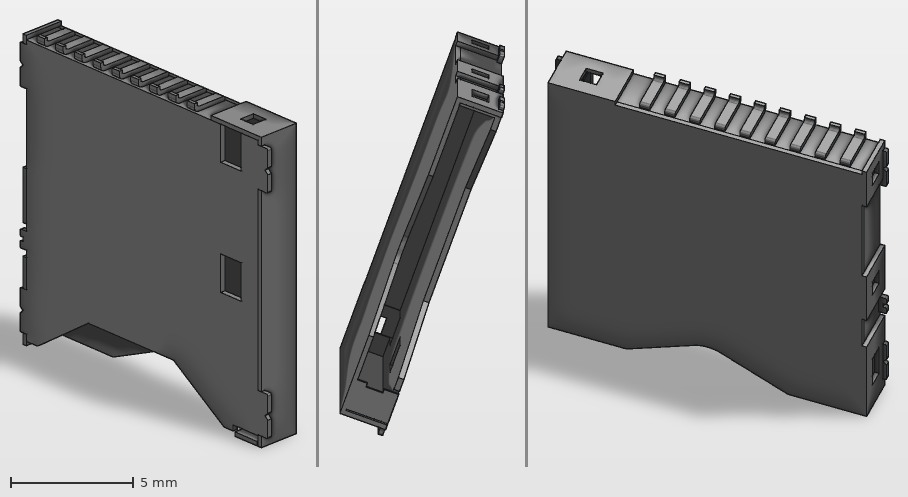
import cadquery as cq
import math


WIDTH = 14.6
THICKNESS = 2.0
HEIGHT = 14.2
LEFT, RIGHT = -WIDTH / 2, WIDTH / 2
FRONT, BACK = -THICKNESS / 2, THICKNESS / 2
BOTTOM, TOP = -HEIGHT / 2, HEIGHT / 2

SHEET = 0.2
LEFT_FOOT_REACH = 0.16
RIGHT_FOOT_REACH = 0.38
CONTACT_RISE = 0.2
SHELL_LEFT = LEFT + LEFT_FOOT_REACH
SHELL_RIGHT = RIGHT - RIGHT_FOOT_REACH
SHELL_TOP = TOP - CONTACT_RISE
SHELL_CENTER = (SHELL_LEFT + SHELL_RIGHT) / 2
PLATE_FRONT = BACK - SHEET
SIDE_FLAPS = ((4.9, SHELL_TOP), (-1.6, 0.89), (BOTTOM, -3.12))
FLAP_HOLES = ((5.56, 6.26), (-0.72, 0.01), (-5.87, -4.38))
HOLE_WIDTH = 0.73
TOP_FLANGE_LEFT = 3.95
FLANGE_HOLE_LEFT, FLANGE_HOLE_RIGHT = 5.04, 5.78
BOTTOM_FLANGE_LEFT = 5.36
BOTTOM_NOTCH_RIGHT = 5.52
BOTTOM_FLANGE_GAP = 0.06
THUMB_HALF_WIDTH = 3.56
THUMB_RISE = 1.55
THUMB_RADIUS = 1.5

HOUSING_LEFT = SHELL_LEFT + SHEET
HOUSING_RIGHT = SHELL_RIGHT - SHEET
HOUSING_BOTTOM = BOTTOM + SHEET
HOUSING_TOP = SHELL_TOP - SHEET
FRONT_WALL = 0.25
THIN_WALL = 0.15
WINDOW_LEFT, WINDOW_RIGHT = 4.53, 5.74
WINDOWS = ((4.98, HOUSING_TOP), (-0.89, 0.85))
MOUTH_CENTER = -0.77
MOUTH_TOP_HALF_WIDTH = 2.51
MOUTH_BOTTOM_HALF_WIDTH = 5.5
MOUTH_HEIGHT = 2.03
CORNER_NOTCH_LEFT = 5.25
CORNER_NOTCH_HEIGHT = 0.28

FOOT_THICKNESS = 0.2
FOOT_HEIGHT = 2.0
FOOT_CENTERS = (5.49, -5.58)
FOOT_CORNER = 0.07
VEE_DEPTH = 0.16
MIDDLE_FOOT_HEIGHT = 0.86
MIDDLE_FOOT_CENTER = -2.37
MIDDLE_SLOT_HEIGHT = 0.19

CONTACT_COUNT = 9
CONTACT_WIDTH = 0.45
FIRST_CONTACT = -6.09
LAST_CONTACT = 2.76
CONTACT_TOP = SHELL_TOP + 0.01
CONTACT_BACK = 0.75
CONTACT_BEND = 0.12
CONTACT_LIP = 0.16


def block(x0, x1, y0, y1, z0, z1):
    """Box between the given limits."""
    return cq.Workplane("XY").box(x1 - x0, y1 - y0, z1 - z0, centered=False).translate((x0, y0, z0))


def foot(wall_x, tip_x, center_z, height):
    """Square-cornered solder foot from a housing side out to tip_x."""
    return block(min(wall_x, tip_x), max(wall_x, tip_x), FRONT, FRONT + FOOT_THICKNESS,
                 center_z - height / 2, center_z + height / 2)


def vee_foot(wall_x, tip_x, center_z):
    """Foot with rounded outer corners and a right-angled vee in the middle of its outer end."""
    inward = math.copysign(VEE_DEPTH, wall_x - tip_x)
    vee = (
        cq.Workplane("XZ", origin=(0, FRONT + FOOT_THICKNESS, 0))
        .moveTo(tip_x, center_z - VEE_DEPTH)
        .lineTo(tip_x + inward, center_z)
        .lineTo(tip_x, center_z + VEE_DEPTH)
        .close()
        .extrude(FOOT_THICKNESS)
    )
    outer_side = "<X" if tip_x < wall_x else ">X"
    rounded = foot(wall_x, tip_x, center_z, FOOT_HEIGHT).faces(outer_side).edges("|Y").fillet(FOOT_CORNER)
    return rounded.cut(vee)


def middle_foot():
    """Short left foot split by a square slot into two prongs with rounded outer corners."""
    slot = block(LEFT, SHELL_LEFT, FRONT, FRONT + FOOT_THICKNESS,
                 MIDDLE_FOOT_CENTER - MIDDLE_SLOT_HEIGHT / 2,
                 MIDDLE_FOOT_CENTER + MIDDLE_SLOT_HEIGHT / 2)
    pronged = foot(HOUSING_LEFT, LEFT, MIDDLE_FOOT_CENTER, MIDDLE_FOOT_HEIGHT).cut(slot)
    return pronged.faces("<X").edges("|Y").fillet(FOOT_CORNER)


def contact(center_x):
    """Contact lying on the housing top, its front end bent up into a lip."""
    lip_back = FRONT + CONTACT_LIP
    outer_bend = CONTACT_TOP - HOUSING_TOP
    return (
        cq.Workplane("YZ", origin=(center_x - CONTACT_WIDTH / 2, 0, 0))
        .moveTo(FRONT + outer_bend, HOUSING_TOP)
        .lineTo(CONTACT_BACK, HOUSING_TOP)
        .lineTo(CONTACT_BACK, CONTACT_TOP - CONTACT_BEND)
        .radiusArc((CONTACT_BACK - CONTACT_BEND, CONTACT_TOP), -CONTACT_BEND)
        .lineTo(lip_back + CONTACT_BEND, CONTACT_TOP)
        .radiusArc((lip_back, CONTACT_TOP + CONTACT_BEND), CONTACT_BEND)
        .lineTo(lip_back, TOP)
        .lineTo(FRONT, TOP)
        .lineTo(FRONT, CONTACT_TOP)
        .radiusArc((FRONT + outer_bend, HOUSING_TOP), -outer_bend)
        .close()
        .extrude(CONTACT_WIDTH)
    )


def housing_mouth():
    """Trapezoidal cutout in the lower edge of the housing front wall."""
    mouth_top = HOUSING_BOTTOM + MOUTH_HEIGHT
    return (
        cq.Workplane("XZ", origin=(0, FRONT + FRONT_WALL, 0))
        .moveTo(MOUTH_CENTER - MOUTH_BOTTOM_HALF_WIDTH, HOUSING_BOTTOM)
        .lineTo(MOUTH_CENTER - MOUTH_TOP_HALF_WIDTH, mouth_top)
        .lineTo(MOUTH_CENTER + MOUTH_TOP_HALF_WIDTH, mouth_top)
        .lineTo(MOUTH_CENTER + MOUTH_BOTTOM_HALF_WIDTH, HOUSING_BOTTOM)
        .close()
        .extrude(FRONT_WALL)
    )


def build_housing():
    """Housing open at the back and bottom, with its contacts and feet."""
    cavity_front = FRONT + FRONT_WALL
    cavity_top = HOUSING_TOP - THIN_WALL
    body = block(HOUSING_LEFT, HOUSING_RIGHT, FRONT, PLATE_FRONT, HOUSING_BOTTOM, HOUSING_TOP)
    body = body.cut(block(HOUSING_LEFT + THIN_WALL, HOUSING_RIGHT - THIN_WALL,
                          cavity_front, PLATE_FRONT, HOUSING_BOTTOM, cavity_top))
    body = body.cut(housing_mouth())
    body = body.cut(block(WINDOW_LEFT, WINDOW_RIGHT, cavity_front, PLATE_FRONT,
                          cavity_top, HOUSING_TOP))
    body = body.cut(block(CORNER_NOTCH_LEFT, HOUSING_RIGHT, FRONT, PLATE_FRONT,
                          HOUSING_BOTTOM, HOUSING_BOTTOM + CORNER_NOTCH_HEIGHT))
    for window_bottom, window_top in WINDOWS:
        body = body.cut(block(WINDOW_LEFT, WINDOW_RIGHT, FRONT, cavity_front, window_bottom, window_top))

    contact_pitch = (LAST_CONTACT - FIRST_CONTACT) / (CONTACT_COUNT - 1)
    for index in range(CONTACT_COUNT):
        body = body.union(contact(FIRST_CONTACT + index * contact_pitch))
    for center_z in FOOT_CENTERS:
        body = body.union(vee_foot(HOUSING_LEFT, LEFT, center_z))
        body = body.union(vee_foot(HOUSING_RIGHT, RIGHT, center_z))
    return body.union(middle_foot())


def thumb_cutout():
    """Shallow vee with a rounded peak in the lower edge of the back plate."""
    vee = (
        cq.Workplane("XZ", origin=(0, BACK, 0))
        .moveTo(SHELL_CENTER - THUMB_HALF_WIDTH, BOTTOM)
        .lineTo(SHELL_CENTER, BOTTOM + THUMB_RISE)
        .lineTo(SHELL_CENTER + THUMB_HALF_WIDTH, BOTTOM)
        .close()
        .extrude(SHEET)
    )
    return vee.edges("|Y and >Z").fillet(THUMB_RADIUS)


def build_shell(housing):
    """Back plate with side walls and two end flanges folded forward."""
    half_hole = HOLE_WIDTH / 2
    shell = block(HOUSING_LEFT, SHELL_RIGHT, PLATE_FRONT, BACK, BOTTOM, HOUSING_TOP)
    shell = shell.cut(thumb_cutout())
    shell = shell.union(block(HOUSING_RIGHT, SHELL_RIGHT, FRONT, BACK, BOTTOM, SHELL_TOP))

    for flap_bottom, flap_top in SIDE_FLAPS:
        shell = shell.union(block(SHELL_LEFT, HOUSING_LEFT, FRONT, BACK, flap_bottom, flap_top))
    for hole_bottom, hole_top in FLAP_HOLES:
        shell = shell.cut(block(SHELL_LEFT, HOUSING_LEFT, -half_hole, half_hole, hole_bottom, hole_top))

    shell = shell.union(block(TOP_FLANGE_LEFT, SHELL_RIGHT, FRONT, BACK, HOUSING_TOP, SHELL_TOP))
    shell = shell.cut(block(FLANGE_HOLE_LEFT, FLANGE_HOLE_RIGHT, -half_hole, half_hole,
                            HOUSING_TOP, SHELL_TOP))
    shell = shell.union(block(BOTTOM_FLANGE_LEFT, HOUSING_RIGHT - BOTTOM_FLANGE_GAP, FRONT, PLATE_FRONT,
                              BOTTOM, HOUSING_BOTTOM))
    shell = shell.cut(block(BOTTOM_FLANGE_LEFT, BOTTOM_NOTCH_RIGHT, -half_hole, half_hole,
                            BOTTOM, HOUSING_BOTTOM))

    return shell.cut(housing)


housing = build_housing()
shell = build_shell(housing)
result = cq.Compound.makeCompound([housing.val(), shell.val()])